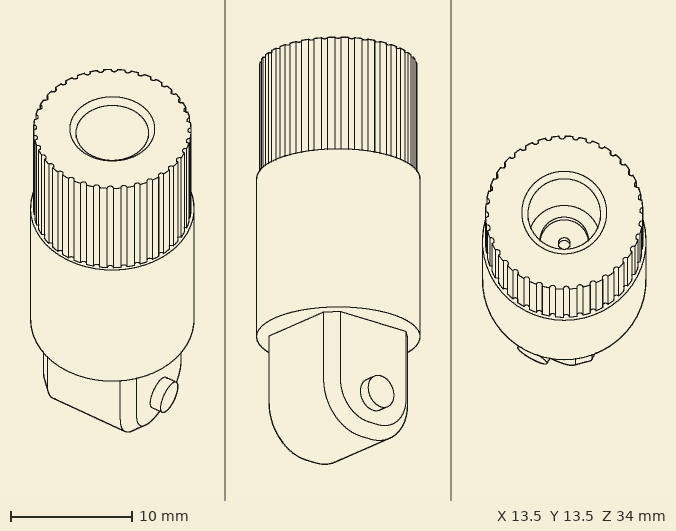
import cadquery as cq

total_height = 34.0
tongue_length = 10.0
knurl_length = 10.0
barrel_bottom = tongue_length
knurl_bottom = total_height - knurl_length

barrel_diameter = 13.5
knurl_diameter = 13.0
groove_count = 36
groove_radius = 0.25

bore_diameter = 6.0
bore_depth = knurl_length
bore_chamfer = 0.5
step_diameter = 4.0
step_depth = 1.0
center_hole_diameter = 1.0
center_hole_depth = 1.0

tongue_width = 9.0
tongue_corner_radius = 4.0
tongue_chamfer = 1.0

pin_diameter = 2.75
pin_length = 11.0
pin_height = 3.5


def vertical_cylinder(diameter, bottom, top):
    """Cylinder on the main axis between two heights."""
    return cq.Workplane("XY").workplane(offset=bottom).circle(diameter / 2).extrude(top - bottom)


def cross_bar(sketch, length):
    """Extrude a YZ sketch along X, centred on the main axis."""
    return sketch.extrude(length / 2, both=True)


def make_grip():
    """Knurled upper section, with round-bottomed grooves along its full length."""
    grooves = (
        cq.Workplane("XY")
        .workplane(offset=knurl_bottom)
        .polarArray(knurl_diameter / 2, 0, 360, groove_count)
        .circle(groove_radius)
        .extrude(knurl_length)
    )
    return vertical_cylinder(knurl_diameter, knurl_bottom, total_height).cut(grooves)


def make_tongue():
    """Tongue whose bevelled top edge is buried inside the barrel."""
    height = tongue_length + tongue_chamfer
    profile = cq.Workplane("YZ").center(0, height / 2).rect(tongue_width, height)
    block = cross_bar(profile, tongue_width)
    rounded = block.edges("|X and <Z").fillet(tongue_corner_radius)
    return rounded.faces("<X or >X").edges().chamfer(tongue_chamfer)


def make_pin():
    """Cross pin standing out equally on both sides of the tongue."""
    profile = cq.Workplane("YZ").center(0, pin_height).circle(pin_diameter / 2)
    return cross_bar(profile, pin_length)


def make_bore():
    """Revolved cutter for the three-step blind bore with its bevelled mouth."""
    bore_floor = total_height - bore_depth
    step_floor = bore_floor - step_depth
    hole_floor = step_floor - center_hole_depth
    bore_radius = bore_diameter / 2
    step_radius = step_diameter / 2
    hole_radius = center_hole_diameter / 2
    half_section = [
        (0, hole_floor),
        (hole_radius, hole_floor),
        (hole_radius, step_floor),
        (step_radius, step_floor),
        (step_radius, bore_floor),
        (bore_radius, bore_floor),
        (bore_radius, total_height - bore_chamfer),
        (bore_radius + bore_chamfer, total_height),
        (0, total_height),
    ]
    return cq.Workplane("XZ").polyline(half_section).close().revolve(360, (0, 0), (0, 1))


barrel = vertical_cylinder(barrel_diameter, barrel_bottom, knurl_bottom)
result = barrel.union(make_grip()).union(make_tongue()).union(make_pin()).cut(make_bore())